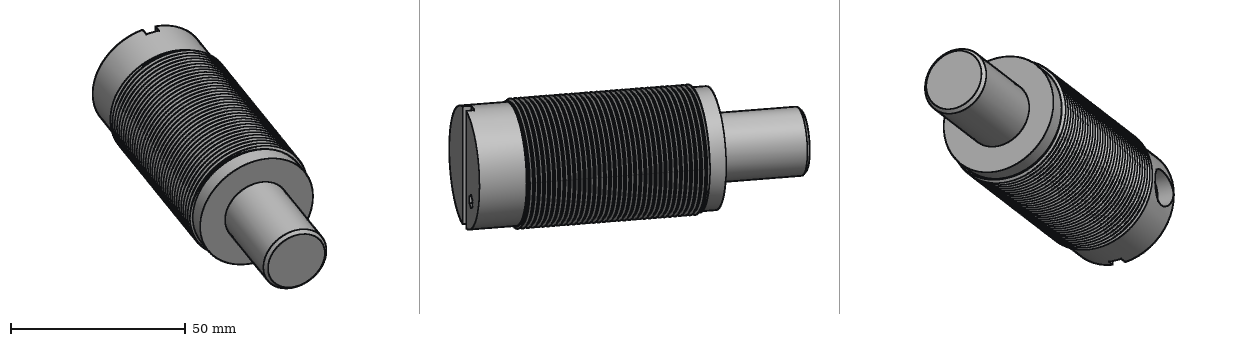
import cadquery as cq
import math

total_length = 100.0
body_length = 73.0
body_diameter = 35.8

plunger_diameter = 20.0
plunger_chamfer = 1.0

crest_radius = 37.6 / 2
root_radius = 35.7 / 2
bore_radius = 14.0
core_radius = 16.0
thread_pitch = 1.5
tooth_base = 1.1
thread_start = 13.9
thread_end = 68.0
first_crest = 14.0
spare_turns = 2
start_angle = -90

slot_width = 4.0
slot_depth = 2.5

socket_flats = 3.5
socket_depth = 3.0
socket_offset = 7.8

side_hole_diameter = 11.0
side_hole_x = 6.0
side_hole_depth = 5.0

body_radius = body_diameter / 2


def make_cylinder(start, end, radius):
    return cq.Workplane("YZ", origin=(start, 0, 0)).circle(radius).extrude(end - start)


def make_plunger():
    plunger = make_cylinder(body_length, total_length, plunger_diameter / 2)
    return plunger.faces(">X").chamfer(plunger_chamfer)


def helix_edge(radius, height):
    """One turn of a right-hand helix around Z, starting above +X at the given height."""
    helix = cq.Wire.makeHelix(thread_pitch, thread_pitch, radius)
    return helix.translate(cq.Vector(0, 0, height)).Edges()[0]


def helical_strip(start, end):
    """One turn of the surface swept by the line between two (radius, height) points."""
    return cq.Face.makeRuledSurface(helix_edge(*start), helix_edge(*end))


def section_face(points):
    corners = [cq.Vector(radius, 0, height) for radius, height in points]
    return cq.Face.makeFromWires(cq.Wire.makePolygon(corners, close=True))


def make_thread():
    """Threaded sleeve, closed turn by turn and then trimmed flat at both ends."""
    section = [
        (bore_radius, 0),
        (root_radius, 0),
        (crest_radius, tooth_base / 2),
        (root_radius, tooth_base),
        (root_radius, thread_pitch),
        (bore_radius, thread_pitch),
    ]

    def section_at(turn):
        return [(radius, height + turn * thread_pitch) for radius, height in section]

    turns = math.ceil((thread_end - thread_start) / thread_pitch) + 2 * spare_turns
    faces = []
    for turn in range(turns):
        inner_low, *outline, inner_high = section_at(turn)
        faces.append(helical_strip(inner_low, inner_high))
        for start, end in zip(outline, outline[1:]):
            faces.append(helical_strip(start, end))

    first, last = section_at(0), section_at(turns - 1)
    faces.append(helical_strip(first[0], first[1]))
    faces.append(helical_strip(last[-1], last[-2]))
    faces.append(section_face(first))
    faces.append(section_face(section_at(turns)))
    sleeve = cq.Workplane(cq.Solid.makeSolid(cq.Shell.makeShell(faces)))

    sleeve = sleeve.rotate((0, 0, 0), (0, 1, 0), 90).rotate((0, 0, 0), (1, 0, 0), start_angle)
    sleeve = sleeve.translate((first_crest - tooth_base / 2 - spare_turns * thread_pitch, 0, 0))
    return make_cylinder(thread_start, thread_end, body_diameter).intersect(sleeve)


def make_slot():
    return cq.Workplane("XY").box(2 * slot_depth, slot_width, 2 * body_diameter)


def make_socket():
    across_corners = socket_flats / (math.cos(math.radians(30)))
    return (
        cq.Workplane("YZ")
        .polygon(6, across_corners)
        .extrude(socket_depth)
        .rotate((0, 0, 0), (1, 0, 0), 90)
        .translate((0, -socket_offset, -socket_offset))
    )


def make_side_hole():
    return (
        cq.Workplane("XZ", origin=(side_hole_x, body_radius, 0))
        .circle(side_hole_diameter / 2)
        .extrude(side_hole_depth)
    )


head = make_cylinder(0, thread_start, body_radius)
core = make_cylinder(thread_start, thread_end, core_radius)
collar = make_cylinder(thread_end, body_length, body_radius)

result = (
    make_thread()
    .union(core)
    .union(head)
    .union(collar)
    .union(make_plunger())
    .cut(make_slot())
    .cut(make_socket())
    .cut(make_side_hole())
)